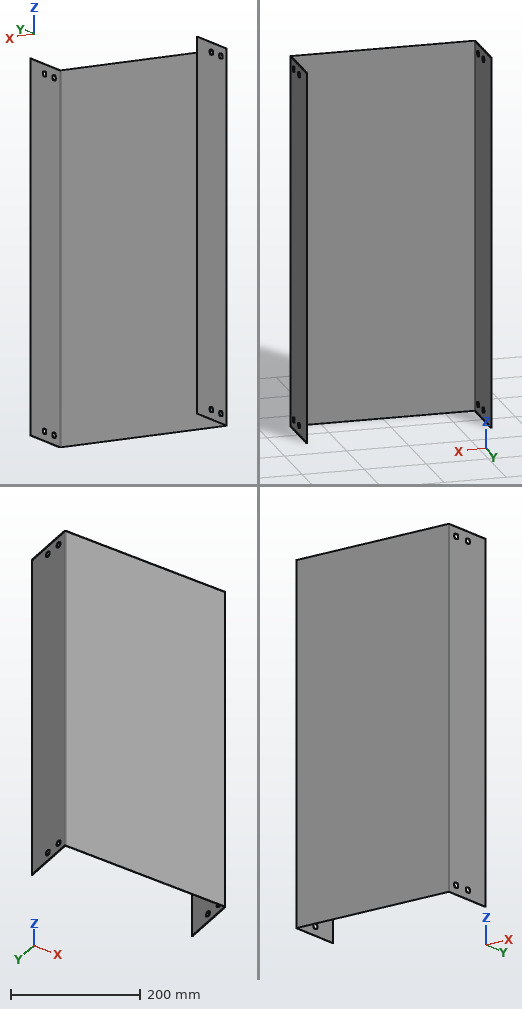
import cadquery as cq

width = 297.5
depth = 94.0
height = 600.0

sheet_thickness = 1.0
inner_bend_radius = 0.2
outer_bend_radius = inner_bend_radius + sheet_thickness

slot_length = 10.0
slot_height = 8.5
front_slot_offset = 19.0
slot_spacing = 30.0
slot_end_margin = 15.5


def bent_channel():
    """U-shaped sheet: web on the -Y side, flanges pointing to +Y."""
    outer = (
        cq.Workplane("XY")
        .box(width, depth, height)
        .edges("|Z and <Y")
        .fillet(outer_bend_radius)
    )
    cavity = (
        cq.Workplane("XY")
        .box(width - 2 * sheet_thickness, depth, height)
        .edges("|Z and <Y")
        .fillet(inner_bend_radius)
        .translate((0, sheet_thickness, 0))
    )
    return outer.cut(cavity)


def flange_slots():
    """Round-ended cutters, long in Y, passing through both flanges."""
    front_y = -depth / 2 + front_slot_offset
    slot_z = height / 2 - slot_end_margin
    centers = [(y, z) for y in (front_y, front_y + slot_spacing) for z in (-slot_z, slot_z)]
    return (
        cq.Workplane("YZ")
        .pushPoints(centers)
        .slot2D(slot_length, slot_height)
        .extrude(width, both=True)
    )


result = bent_channel().cut(flange_slots())